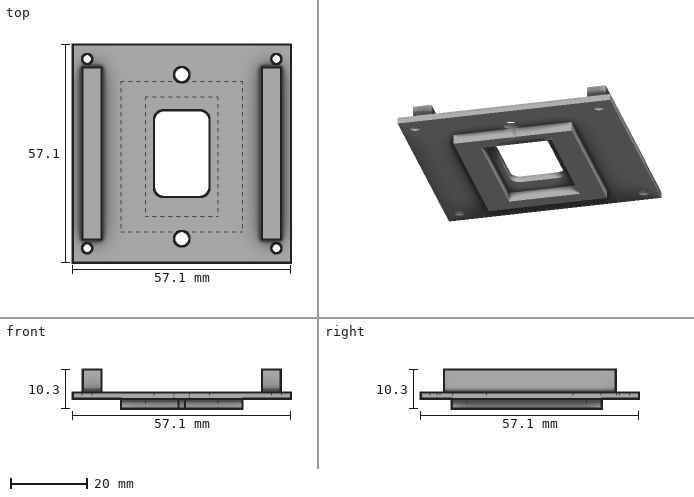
import cadquery as cq

plate_side = 57.15
plate_thickness = 1.7

bar_width = 5.0
bar_length = 45.0
bar_height = 6.0
bar_spacing = 46.9

frame_width = 31.8
frame_length = 39.3
frame_height = 2.6
frame_offset_y = -0.8
frame_side_wall = 6.4
frame_end_wall = 4.0

window_width = 14.5
window_length = 22.6
window_corner_radius = 2.5

corner_hole_diameter = 2.6
corner_hole_spacing = 49.5
mounting_hole_diameter = 4.0
mounting_hole_spacing = 42.9

plate_bottom_z = -plate_thickness
frame_bottom_z = plate_bottom_z - frame_height


def box_on(z, width, length, height, centers):
    """Boxes standing on the plane at height z; a negative height extends downwards."""
    return cq.Workplane("XY", origin=(0, 0, z)).pushPoints(centers).rect(width, length).extrude(height)


def through_holes(diameter, centers):
    """Cylinders reaching from the frame's underside to the plate's top face."""
    return (
        cq.Workplane("XY", origin=(0, 0, frame_bottom_z))
        .pushPoints(centers)
        .circle(diameter / 2)
        .extrude(-frame_bottom_z)
    )


def make_frame():
    centers = [(0, frame_offset_y)]
    opening_width = frame_width - 2 * frame_side_wall
    opening_length = frame_length - 2 * frame_end_wall
    outer = box_on(plate_bottom_z, frame_width, frame_length, -frame_height, centers)
    opening = box_on(plate_bottom_z, opening_width, opening_length, -frame_height, centers)
    return outer.cut(opening)


def make_body():
    plate = box_on(0, plate_side, plate_side, -plate_thickness, [(0, 0)])
    bar_centers = [(side * bar_spacing / 2, 0) for side in (-1, 1)]
    bars = box_on(0, bar_width, bar_length, bar_height, bar_centers)
    return plate.union(bars).union(make_frame())


def make_window():
    window = box_on(0, window_width, window_length, -plate_thickness, [(0, 0)])
    return window.edges("|Z").fillet(window_corner_radius)


def make_corner_holes():
    reach = corner_hole_spacing / 2
    centers = [(x * reach, y * reach) for x in (-1, 1) for y in (-1, 1)]
    return through_holes(corner_hole_diameter, centers)


def make_mounting_holes():
    """Holes on the Y centreline that also notch the two end faces of the frame."""
    centers = [(0, frame_offset_y + side * mounting_hole_spacing / 2) for side in (-1, 1)]
    return through_holes(mounting_hole_diameter, centers)


result = make_body().cut(make_window()).cut(make_corner_holes()).cut(make_mounting_holes())